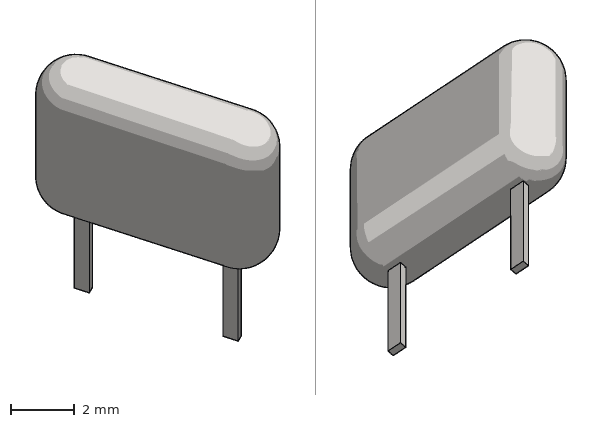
import cadquery as cq


BODY_LENGTH = 8.1
BODY_THICKNESS = 2.54
BODY_HEIGHT = 6.3
EDGE_RADIUS = 1.25

OVERALL_HEIGHT = 10.22
LEAD_PITCH = 5.08
LEAD_WIDTH = 0.52
LEAD_THICKNESS = 0.25
LEAD_LENGTH = OVERALL_HEIGHT - BODY_HEIGHT


def make_body():
    """Block with every edge rounded, so each corner is an eighth of a sphere."""
    block = cq.Workplane("XY").box(
        BODY_LENGTH, BODY_THICKNESS, BODY_HEIGHT, centered=(True, True, False)
    )
    return block.edges().fillet(EDGE_RADIUS)


def make_lead(x_position, body):
    """Flat strip whose top end is shaped to meet the curved underside of the body."""
    strip_top = EDGE_RADIUS / 2
    strip = (
        cq.Workplane("XY", origin=(x_position, 0, -LEAD_LENGTH))
        .rect(LEAD_WIDTH, LEAD_THICKNESS)
        .extrude(LEAD_LENGTH + strip_top)
    )
    return strip.cut(body)


body = make_body()
leads = [make_lead(side * LEAD_PITCH / 2, body) for side in (-1, 1)]

result = cq.Compound.makeCompound([body.val(), *[lead.val() for lead in leads]])